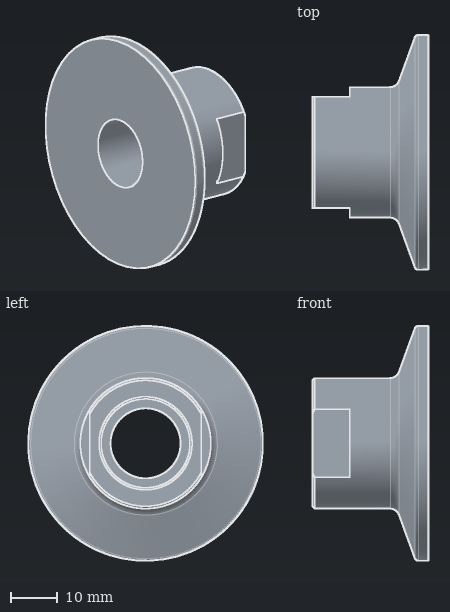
import cadquery as cq
import math

length = 25.0

flange_radius = 25.25
rim_thickness = 2.25
rim_blend_radius = 0.75
cone_angle = 20.0
back_relief_length = 0.3
back_relief_drop = 0.075

hub_radius = 14.05
hub_root_fillet = 2.0
hub_chamfer = 0.5

flat_spacing = 24.0
flat_length = 8.05

through_radius = 7.5
socket_radius = 9.55
socket_depth = 12.5
relief_radius = 10.0
relief_start = 11.25
mouth_chamfer = 0.45

blend_turn = math.radians(90 - cone_angle)
cone_end = length - rim_thickness - rim_blend_radius * math.tan(blend_turn / 2)
cone_start = cone_end - (flange_radius - hub_radius) * math.tan(math.radians(cone_angle))


def revolve_about_x(points):
    """Turn a closed outline of (axial, radial) points about the X axis."""
    return cq.Workplane("XY").polyline(points).close().revolve(360, (0, 0, 0), (1, 0, 0))


def edge_centred_at(x):
    """Select the circular edge whose centre is nearest to x on the axis."""
    return cq.selectors.NearestToPointSelector((x, 0, 0))


def make_body():
    """Hub, conical transition and rim as one solid of revolution."""
    body = revolve_about_x([
        (0, 0),
        (0, hub_radius - hub_chamfer),
        (hub_chamfer, hub_radius),
        (cone_start, hub_radius),
        (cone_end, flange_radius),
        (length - back_relief_length, flange_radius),
        (length, flange_radius - back_relief_drop),
        (length, 0),
    ])
    body = body.edges("%CIRCLE").edges(edge_centred_at(cone_start)).fillet(hub_root_fillet)
    return body.edges("%CIRCLE").edges(edge_centred_at(cone_end)).fillet(rim_blend_radius)


def make_bore():
    """Cutter for the chamfered socket, the relief groove at its floor and the through hole."""
    return revolve_about_x([
        (0, 0),
        (0, socket_radius + mouth_chamfer),
        (mouth_chamfer, socket_radius),
        (relief_start, socket_radius),
        (relief_start, relief_radius),
        (socket_depth, relief_radius),
        (socket_depth, through_radius),
        (length, through_radius),
        (length, 0),
    ])


def make_flat_cutter(side):
    """Block that removes the hub beyond one wrench flat; side is -1 or 1 along Y."""
    block_thickness = hub_radius
    block_centre_y = side * (flat_spacing + block_thickness) / 2
    block = cq.Workplane("XY").box(flat_length, block_thickness, 2 * hub_radius)
    return block.translate((flat_length / 2, block_centre_y, 0))


result = make_body().cut(make_bore())
for side in (-1, 1):
    result = result.cut(make_flat_cutter(side))